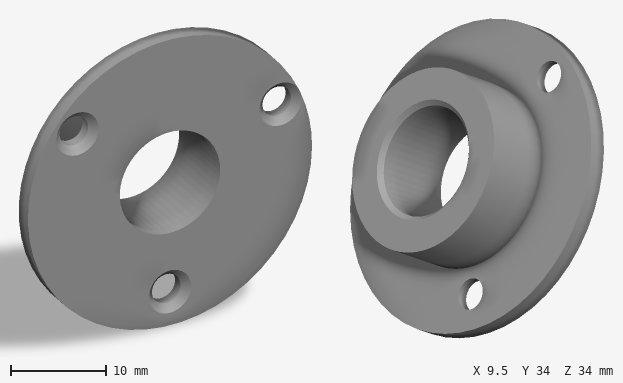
import cadquery as cq

flange_diameter = 34.0
flange_thickness = 2.0
total_length = 9.5
hub_diameter = 20.0
hub_length = total_length - flange_thickness

bore_diameter = 12.0
bore_chamfer = 0.5

hole_diameter = 3.4
hole_centers = [(13.23, 5.9), (-11.05, 8.6), (0, -13.0)]

countersink_depth = 0.8
countersink_diameter = hole_diameter + 2 * countersink_depth

flange = cq.Workplane("YZ").circle(flange_diameter / 2).extrude(flange_thickness)
hub = cq.Workplane("YZ").circle(hub_diameter / 2).extrude(-hub_length)

bore = (
    cq.Workplane("YZ", origin=(-hub_length, 0, 0))
    .circle(bore_diameter / 2)
    .extrude(total_length)
)
mounting_holes = (
    cq.Workplane("YZ")
    .pushPoints(hole_centers)
    .circle(hole_diameter / 2)
    .extrude(flange_thickness)
)
countersinks = (
    cq.Workplane("YZ", origin=(flange_thickness, 0, 0))
    .pushPoints(hole_centers)
    .circle(countersink_diameter / 2)
    .extrude(-countersink_depth, taper=45)
)

body = flange.union(hub).cut(bore).cut(mounting_holes).cut(countersinks)

bore_rim = cq.selectors.RadiusNthSelector(0)
result = body.faces("<X").edges(bore_rim).chamfer(bore_chamfer)